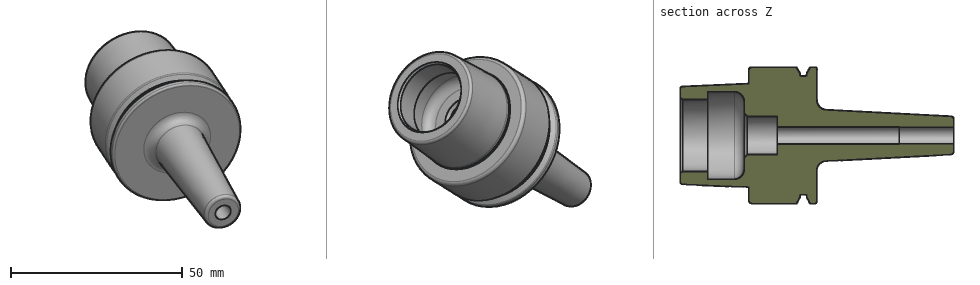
import cadquery as cq
import math

total_length = 80.0
taper_length = 20.0
flange_end = 40.0

mouth_radius = 14.3
taper_base_radius = 15.1
taper_base_x = 18.4
mouth_rounding = 0.8
flare_start_x = 19.5
flare_radius = 15.3

flange_radius = 20.0
flange_front_rounding = 1.0
flange_back_rounding = 0.6

groove_center_x = 36.0
groove_floor_diameter = 34.8
groove_floor_radius = groove_floor_diameter / 2
groove_top_width = 4.0
groove_floor_width = 1.9
groove_flank_angle = math.radians(30)
groove_floor_rounding = 0.5
groove_edge_rounding = 0.5

neck_tip_radius = 5.6
neck_angle = math.radians(3)
neck_root_radius = neck_tip_radius + (total_length - flange_end) * math.tan(neck_angle)
neck_root_rounding = 2.8
neck_tip_rounding = 1.0

mouth_bore_radius = 10.5
mouth_chamfer_depth = 0.8
mouth_chamfer_width = 0.5
mouth_bore_end = 8.2
undercut_diameter = 25.5
undercut_radius = undercut_diameter / 2
cavity_depth = 18.7
cavity_floor_rounding = 3.0

seat_radius = 5.5
seat_chamfer = 1.0
seat_depth = 9.6
bore_radius = 2.5
tip_bore_radius = 2.4
tip_bore_length = 16.0


def revolve_about_x(profile):
    """Close a half profile along the axis and turn it into a solid of revolution."""
    return profile.close().revolve(360, (0, 0, 0), (1, 0, 0))


def rounded_at(body, x, radius, rounding):
    """Round the largest circular edge at position x that lies within the given radius."""
    margin = 0.04
    rim = cq.selectors.BoxSelector(
        (x - margin, -radius - margin, -radius - margin),
        (x + margin, radius + margin, radius + margin),
        boundingbox=True,
    )
    ring = cq.selectors.RadiusNthSelector(-1)
    return body.edges(rim).edges(ring).fillet(rounding)


def make_taper():
    taper = revolve_about_x(
        cq.Workplane("XY")
        .lineTo(0, mouth_radius)
        .lineTo(taper_base_x, taper_base_radius)
        .lineTo(flare_start_x, taper_base_radius)
        .lineTo(taper_length, flare_radius)
        .lineTo(taper_length, 0)
    )
    return rounded_at(taper, 0, mouth_radius, mouth_rounding)


def make_flange():
    half_top = groove_top_width / 2
    half_floor = groove_floor_width / 2
    flank_foot_radius = flange_radius - (half_top - half_floor) / math.tan(groove_flank_angle)
    groove_top = [groove_center_x - half_top, groove_center_x + half_top]
    groove_floor = [groove_center_x - half_floor, groove_center_x + half_floor]
    flange = revolve_about_x(
        cq.Workplane("XY")
        .moveTo(taper_length, 0)
        .lineTo(taper_length, flange_radius)
        .lineTo(groove_top[0], flange_radius)
        .lineTo(groove_floor[0], flank_foot_radius)
        .lineTo(groove_floor[0], groove_floor_radius)
        .lineTo(groove_floor[1], groove_floor_radius)
        .lineTo(groove_floor[1], flank_foot_radius)
        .lineTo(groove_top[1], flange_radius)
        .lineTo(flange_end, flange_radius)
        .lineTo(flange_end, 0)
    )
    for x in groove_floor:
        flange = rounded_at(flange, x, groove_floor_radius, groove_floor_rounding)
    for x in groove_top:
        flange = rounded_at(flange, x, flange_radius, groove_edge_rounding)
    flange = rounded_at(flange, taper_length, flange_radius, flange_front_rounding)
    return rounded_at(flange, flange_end, flange_radius, flange_back_rounding)


def make_neck():
    neck = revolve_about_x(
        cq.Workplane("XY")
        .moveTo(flange_end, 0)
        .lineTo(flange_end, neck_root_radius)
        .lineTo(total_length, neck_tip_radius)
        .lineTo(total_length, 0)
    )
    return rounded_at(neck, total_length, neck_tip_radius, neck_tip_rounding)


def make_cavity():
    cavity = revolve_about_x(
        cq.Workplane("XY")
        .lineTo(0, mouth_bore_radius + mouth_chamfer_width)
        .lineTo(mouth_chamfer_depth, mouth_bore_radius)
        .lineTo(mouth_bore_end, mouth_bore_radius)
        .lineTo(mouth_bore_end, undercut_radius)
        .lineTo(cavity_depth, undercut_radius)
        .lineTo(cavity_depth, 0)
    )
    return rounded_at(cavity, cavity_depth, undercut_radius, cavity_floor_rounding)


def make_tube_seat_and_bore():
    seat_end = cavity_depth + seat_depth
    tip_bore_start = total_length - tip_bore_length
    return revolve_about_x(
        cq.Workplane("XY")
        .moveTo(cavity_depth, 0)
        .lineTo(cavity_depth, seat_radius + seat_chamfer)
        .lineTo(cavity_depth + seat_chamfer, seat_radius)
        .lineTo(seat_end, seat_radius)
        .lineTo(seat_end, bore_radius)
        .lineTo(tip_bore_start, bore_radius)
        .lineTo(tip_bore_start, tip_bore_radius)
        .lineTo(total_length, tip_bore_radius)
        .lineTo(total_length, 0)
    )


body = make_taper().union(make_flange()).union(make_neck())
body = rounded_at(body, flange_end, neck_root_radius, neck_root_rounding)
result = body.cut(make_cavity()).cut(make_tube_seat_and_bore())